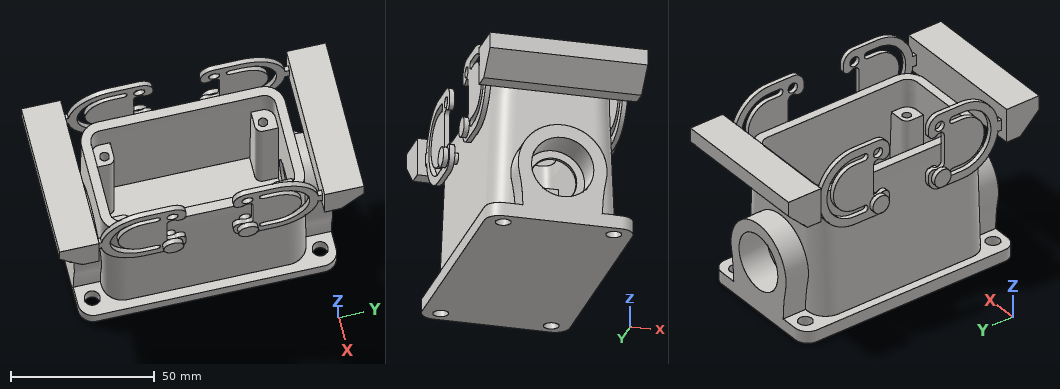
import cadquery as cq
import math


flange_length = 92.4
flange_width = 53.5
flange_height = 5.0
flange_corner_radius = 5.5
mount_hole_x = 20.0
mount_hole_y = flange_length / 2 - flange_corner_radius
mount_hole_radius = 2.7

wall_length = 73.0
wall_base_width = 46.9
rim_width = 42.7
wall_corner_radius = 7.5
wall_thickness = 3.5
rim_bottom_z = 51.6
rim_top_z = 56.8

boss_top_z = 44.9
boss_inner_x = 10.0
boss_inner_y = 25.2
boss_corner_radius = 2.5
screw_hole_x = 13.4
screw_hole_y = 28.3
screw_hole_radius = 1.6
screw_hole_depth = 13.1

entry_radius = 16.0
entry_z = flange_height + entry_radius
entry_flare_drop = 3.3
entry_bore_radius = 11.2
entry_bore_depth = 12.0
entry_hole_radius = 8.4

pivot_y = 13.4
pivot_offset = 10.5
peg_radius = 2.0
head_radius = 3.6
head_thickness = 1.9

lever_z = 57.4
plate_inner_x = 23.8
plate_thickness = 1.9
plate_outer_x = plate_inner_x + plate_thickness
plate_radius = 15.6
plate_center_y = 23.3
plate_edge_y = pivot_y + peg_radius
slot_outer_radius = 12.3
slot_inner_radius = 9.5
slot_cap_y = 19.2
hook_end_y = 8.5
hook_radius = 4.9
hook_tip_radius = 2.2
notch_radius = 2.0
notch_offset = 5.8
tab_height = 4.4
bar_width = 57.0
bar_inner_y = 40.3
bar_outer_y = 54.5
bar_top_z = 65.5
bar_bottom_z = 51.6
bar_bevel_z = 59.6
bar_bevel_y = 46.3

pivot_z = lever_z - pivot_offset


def tapered_block(inset):
    """Block with drafted sides below and upright sides above, inset from the outer faces."""
    length = wall_length - 2 * inset
    base_x = wall_base_width / 2 - inset
    rim_x = rim_width / 2 - inset
    outline = [
        (-base_x, flange_height),
        (base_x, flange_height),
        (rim_x, rim_bottom_z),
        (rim_x, rim_top_z),
        (-rim_x, rim_top_z),
        (-rim_x, rim_bottom_z),
    ]
    block = cq.Workplane("XZ").polyline(outline).close().extrude(length / 2, both=True)
    return block.edges("not(|X or |Y)").fillet(wall_corner_radius - inset)


def make_flange():
    """Round-cornered base plate with a mounting hole in each corner."""
    plate = cq.Workplane("XY").rect(flange_width, flange_length).extrude(flange_height)
    plate = plate.edges("|Z").fillet(flange_corner_radius)
    holes = (
        cq.Workplane("XY")
        .rect(2 * mount_hole_x, 2 * mount_hole_y, forConstruction=True)
        .vertices()
        .circle(mount_hole_radius)
        .extrude(flange_height)
    )
    return plate.cut(holes)


def make_entry_bosses():
    """Round bosses through both ends, each flowing down into a narrower foot with concave flanks."""
    flare_angle = math.asin(entry_flare_drop / entry_radius)
    flare_x = entry_radius * math.cos(flare_angle)
    flank_center_distance = entry_radius / math.sin(flare_angle)
    flank_radius = flank_center_distance - entry_radius
    flank_center_x = flank_center_distance * math.cos(flare_angle)
    foot_x = flank_center_x - flank_radius
    flank_mid_x = flank_center_x - flank_radius * math.cos(flare_angle / 2)
    flank_mid_z = flange_height + flank_radius * math.sin(flare_angle / 2)
    flare_z = entry_z - entry_flare_drop
    return (
        cq.Workplane("XZ", origin=(0, flange_length / 2, 0))
        .moveTo(-foot_x, 0)
        .lineTo(-foot_x, flange_height)
        .threePointArc((-flank_mid_x, flank_mid_z), (-flare_x, flare_z))
        .threePointArc((0, entry_z + entry_radius), (flare_x, flare_z))
        .threePointArc((flank_mid_x, flank_mid_z), (foot_x, flange_height))
        .lineTo(foot_x, 0)
        .close()
        .extrude(flange_length)
    )


def make_entry_bores():
    """Clear hole through both end walls, widened from outside to leave a thin web."""
    hole = (
        cq.Workplane("XZ", origin=(0, flange_length / 2, entry_z))
        .circle(entry_hole_radius)
        .extrude(flange_length)
    )
    for bore_start in (flange_length / 2, entry_bore_depth - flange_length / 2):
        bore = (
            cq.Workplane("XZ", origin=(0, bore_start, entry_z))
            .circle(entry_bore_radius)
            .extrude(entry_bore_depth)
        )
        hole = hole.union(bore)
    return hole


def make_screw_bosses(cavity):
    """Drilled pillars that fill the four corners of the cavity."""
    boss_height = boss_top_z - flange_height
    boss_size_x = wall_base_width / 2 - boss_inner_x
    boss_size_y = wall_length / 2 - boss_inner_y
    pillars = (
        cq.Workplane("XY", origin=(0, 0, flange_height))
        .rect(2 * boss_inner_x + boss_size_x, 2 * boss_inner_y + boss_size_y, forConstruction=True)
        .vertices()
        .rect(boss_size_x, boss_size_y)
        .extrude(boss_height)
        .edges("|Z")
        .fillet(boss_corner_radius)
    )
    holes = (
        cq.Workplane("XY", origin=(0, 0, boss_top_z))
        .rect(2 * screw_hole_x, 2 * screw_hole_y, forConstruction=True)
        .vertices()
        .circle(screw_hole_radius)
        .extrude(-screw_hole_depth)
    )
    return pillars.intersect(cavity).cut(holes)


def make_pivot_pegs(cavity):
    """Four pegs on the side walls, each with a round head that holds a lever plate."""
    pegs = cq.Workplane("YZ")
    for x_side in (-1, 1):
        for y_side in (-1, 1):
            start = cq.Workplane("YZ", origin=(0, y_side * pivot_y, pivot_z))
            shank = start.circle(peg_radius).extrude(x_side * plate_outer_x)
            head_plane = start.workplane(offset=x_side * plate_outer_x)
            head = head_plane.circle(head_radius).extrude(x_side * head_thickness)
            pegs = pegs.add(shank.union(head).cut(cavity))
    return pegs.combine()


def make_half_plate():
    """Upper half of a lever plate: a round back, and a hook with a notch under it in front."""
    tip_y = hook_end_y + hook_tip_radius
    center_gap = notch_radius + hook_tip_radius
    tip_offset = notch_offset + math.sqrt(center_gap**2 - (pivot_y - tip_y) ** 2)
    notch_share = notch_radius / center_gap
    meet_y = pivot_y + (tip_y - pivot_y) * notch_share
    meet_offset = notch_offset + (tip_offset - notch_offset) * notch_share
    diagonal = math.sqrt(0.5)
    hook_center_y = hook_end_y + hook_radius
    hook_center_offset = plate_radius - hook_radius
    hook_mid = (hook_center_y - hook_radius * diagonal, hook_center_offset + hook_radius * diagonal)
    tip_mid = (tip_y - hook_tip_radius * diagonal, tip_offset - hook_tip_radius * diagonal)
    back_mid = (plate_center_y + plate_radius * diagonal, plate_radius * diagonal)
    return (
        cq.Workplane("YZ", origin=(plate_inner_x, 0, 0))
        .moveTo(plate_edge_y, 0)
        .lineTo(plate_edge_y, notch_offset)
        .threePointArc((pivot_y, notch_offset + notch_radius), (meet_y, meet_offset))
        .threePointArc(tip_mid, (hook_end_y, tip_offset))
        .lineTo(hook_end_y, hook_center_offset)
        .threePointArc(hook_mid, (hook_center_y, plate_radius))
        .lineTo(plate_center_y, plate_radius)
        .threePointArc(back_mid, (plate_center_y + plate_radius, 0))
        .close()
        .extrude(plate_thickness)
    )


def make_plate():
    """Lever plate on the +X side, with its curved slot, two pivot holes and the tab to the bar."""
    half_plate = make_half_plate()
    plate = half_plate.union(half_plate.mirror("XY"))
    plane = cq.Workplane("YZ", origin=(plate_inner_x, 0, 0))
    slot_mid_radius = (slot_outer_radius + slot_inner_radius) / 2
    slot_end_y = slot_cap_y - (slot_outer_radius - slot_inner_radius) / 2
    slot = (
        plane.moveTo(slot_cap_y, slot_outer_radius)
        .lineTo(plate_center_y, slot_outer_radius)
        .threePointArc((plate_center_y + slot_outer_radius, 0), (plate_center_y, -slot_outer_radius))
        .lineTo(slot_cap_y, -slot_outer_radius)
        .threePointArc((slot_end_y, -slot_mid_radius), (slot_cap_y, -slot_inner_radius))
        .lineTo(plate_center_y, -slot_inner_radius)
        .threePointArc((plate_center_y + slot_inner_radius, 0), (plate_center_y, slot_inner_radius))
        .lineTo(slot_cap_y, slot_inner_radius)
        .threePointArc((slot_end_y, slot_mid_radius), (slot_cap_y, slot_outer_radius))
        .close()
        .extrude(plate_thickness)
    )
    pivot_points = [(pivot_y, pivot_offset), (pivot_y, -pivot_offset)]
    pivot_holes = plane.pushPoints(pivot_points).circle(peg_radius).extrude(plate_thickness)
    tab_start_y = plate_center_y + (slot_outer_radius + plate_radius) / 2
    tab_length = bar_inner_y - tab_start_y
    tab = (
        plane.center(tab_start_y + tab_length / 2, 0)
        .rect(tab_length, tab_height)
        .extrude(plate_thickness)
    )
    return plate.union(tab).cut(slot).cut(pivot_holes).translate((0, 0, lever_z))


def make_bar():
    """Grip bar across the +Y end, with its lower outer edge bevelled."""
    outline = [
        (bar_inner_y, bar_top_z),
        (bar_outer_y, bar_top_z),
        (bar_outer_y, bar_bevel_z),
        (bar_bevel_y, bar_bottom_z),
        (bar_inner_y, bar_bottom_z),
    ]
    return cq.Workplane("YZ").polyline(outline).close().extrude(bar_width / 2, both=True)


def make_lever():
    """Lever at the +Y end: two plates joined by the grip bar."""
    plate = make_plate()
    return make_bar().union(plate).union(plate.mirror("YZ"))


def make_housing():
    """Flanged box with cable entries, screw bosses and pivot pegs."""
    cavity = tapered_block(wall_thickness)
    shell = make_flange().union(tapered_block(0)).union(make_entry_bosses())
    shell = shell.cut(cavity).cut(make_entry_bores())
    return shell.union(make_screw_bosses(cavity)).union(make_pivot_pegs(cavity))


lever = make_lever()
housing = make_housing().union(lever)
free_lever = lever.mirror("XZ")

result = cq.Compound.makeCompound([housing.val(), free_lever.val()])